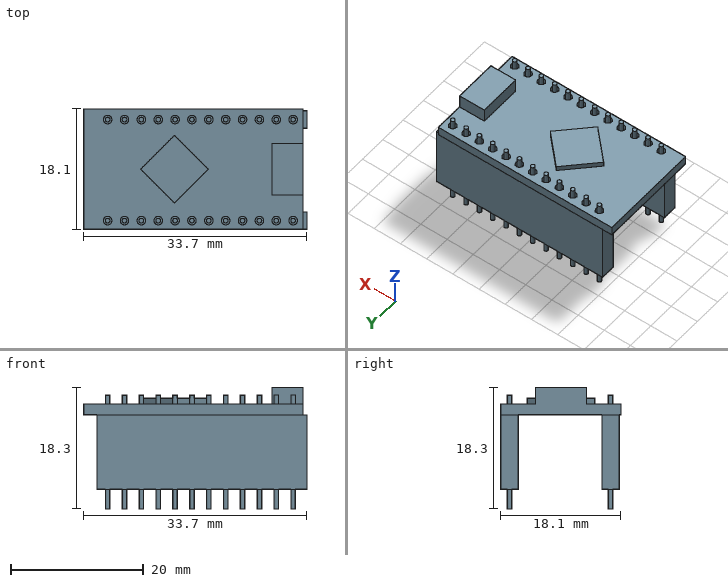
import cadquery as cq

board_length = 33.1
board_width = 18.15
board_thickness = 1.65

chip_side = 7.2
chip_height = 0.88
chip_center_x = 13.68
chip_turn = 45

usb_length = 4.7
usb_width = 7.7
usb_height = 2.5

overall_length = 33.7
header_start_x = 2.0
header_length = overall_length - header_start_x
header_width = 2.65
header_height = 11.22

pin_count = 12
pin_diameter = 0.7
pin_hole_diameter = 1.28
first_pin_x = 3.6
pin_row_length = 27.95
pin_pitch = pin_row_length / (pin_count - 1)
pin_row_spacing = 15.23
pin_length_below = 2.95
pin_length_above_board = 1.3

header_top_z = pin_length_below + header_height
board_top_z = header_top_z + board_thickness
pin_top_z = board_top_z + pin_length_above_board

front_row_y = (header_width - board_width) / 2
row_positions = [front_row_y, front_row_y + pin_row_spacing]


def block(length, width, height, start_x, center_y, bottom_z):
    """Rectangular block from its -X face, its centre line in Y and its lower face."""
    return cq.Workplane("XY").box(length, width, height, centered=(False, True, False)).translate(
        (start_x, center_y, bottom_z)
    )


def pin_points(row_y):
    """Pin axes of one row."""
    return [(first_pin_x + i * pin_pitch, row_y) for i in range(pin_count)]


def make_board():
    """Board with its clearance holes, chip and USB socket as one solid."""
    plate = block(board_length, board_width, board_thickness, 0, 0, header_top_z)
    for row_y in row_positions:
        holes = (
            cq.Workplane("XY", origin=(0, 0, header_top_z))
            .pushPoints(pin_points(row_y))
            .circle(pin_hole_diameter / 2)
            .extrude(board_thickness)
        )
        plate = plate.cut(holes)

    chip = (
        cq.Workplane("XY", origin=(chip_center_x, 0, board_top_z))
        .transformed(rotate=(0, 0, chip_turn))
        .rect(chip_side, chip_side)
        .extrude(chip_height)
    )
    usb_socket = block(usb_length, usb_width, usb_height, board_length - usb_length, 0, board_top_z)
    return plate.union(chip).union(usb_socket).solids()


def make_header(row_y):
    """Header strip with its row of pins as one solid."""
    strip = block(header_length, header_width, header_height, header_start_x, row_y, pin_length_below)
    pins = cq.Workplane("XY").pushPoints(pin_points(row_y)).circle(pin_diameter / 2).extrude(pin_top_z)
    return strip.union(pins).solids()


board = make_board()
headers = [make_header(row_y) for row_y in row_positions]

result = cq.Compound.makeCompound([board.val(), *[header.val() for header in headers]])